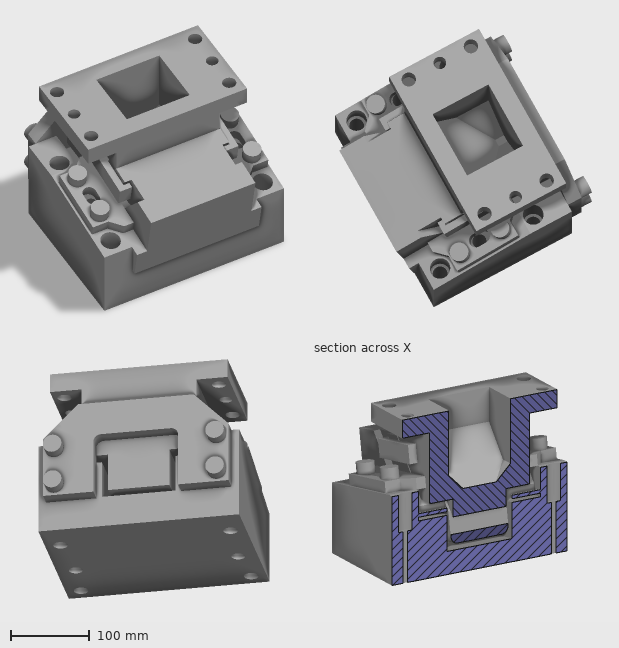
import cadquery as cq
import math


TILT = 10.0
DRIVE_ANGLE = 50.0
SIDES = (-1, 1)

BASE_LENGTH = 200.0
BASE_WIDTH = 260.0
BASE_HEIGHT = 120.0
GUIDE_START_X = 60.0
MOUNT_HOLE_XS = (45.0, 180.0)
MOUNT_HOLE_Y = 110.0
MOUNT_HOLE_RADIUS = 9.4
COUNTERBORE_RADIUS = 13.0
COUNTERBORE_FLOOR = 70.0
DOWEL_RADIUS = 8.8
DRIVER_POCKET_FLOOR = 90.0
KEEL_SLOT_HALF_WIDTH = 47.5
KEEL_SLOT_DEPTH = 88.0

PLATE_THICKNESS = 19.8
PLATE_HALF_WIDTH = 120.0
PLATE_TOP = 165.0
PLATE_TOP_HALF_WIDTH = 75.0
PLATE_BOTTOM = 39.8
WINDOW_HALF_WIDTH = 55.0
WINDOW_CORNER_RADIUS = 10.0
PLATE_BEVEL = (1.5, 2.5)
SCREW_RADIUS = 12.0
PLATE_SCREW_LENGTH = 16.1
PLATE_SCREW_Y = 105.0
PLATE_SCREW_ZS = (55.0, 105.0)

GIB_LENGTH = 120.0
GIB_MIDDLE = 58.5
GIB_THICKNESS = 15.0
GIB_INNER_Y = 76.0
GIB_OUTER_Y = 127.0
GIB_CORNER = 15.0
GIB_CORNER_Y = 89.8
GIB_SCREW_PITCH = 60.0
GIB_SCREW_HEIGHT = 15.0
GIB_SLOT_Y = 105.0
GIB_SLOT_LENGTH = 28.0

DRIVER_TOP = 220.0
DRIVER_LENGTH = 130.0
DRIVER_HALF_WIDTH = 74.5
DRIVER_UNDERSIDE = 100.0
FLANGE_WIDTH = 230.0
FLANGE_THICKNESS = 25.0
FLANGE_HOLES = ((20.0, 9.0), (65.0, 8.0), (110.0, 9.0))
FLANGE_HOLE_Y = 100.0
TONGUE_HALF_WIDTH = 39.5
TONGUE_BOTTOM = 50.0
CAVITY_X = (24.5, 105.4)
CAVITY_HALF_WIDTH = 45.5
CAVITY_WALL_BOTTOM = 173.5
CAVITY_FLOOR = 92.0
CAVITY_FLOOR_HALF_WIDTH = 4.7

HOOK_START = 17.5
HOOK_END = 92.5
HOOK_BOTTOM = 30.0
HOOK_TOP = 55.0
HOOK_INNER_Y = 76.8
HOOK_OUTER_Y = 85.9
HOOK_PAD_END = 43.0
HOOK_TIP_THICKNESS = 7.3
HOOK_TIP_Y = 68.5

SLIDE_HALF_WIDTH = 75.5
SLIDE_TOP = 60.0
SLIDE_END = 156.0
SLIDE_FLANGE_HALF_WIDTH = 90.0
SLIDE_FLANGE_DEPTH = 40.0
SLIDE_FRONT_X = 68.5
SLIDE_EDGE_X = 131.5
KEEL_HALF_WIDTH = 42.7
KEEL_START = 5.5
KEEL_END = 58.8
KEEL_DEPTH = 80.1
KEEL_RADIUS = 10.5
NOTCH_DEPTH = 9.5
NOTCH_RADIUS = 14.8
NOTCH_CENTRE = (146.5, 131.0)
OVERSHOOT = 104.0

tilt_sin = math.sin(math.radians(TILT))
tilt_cos = math.cos(math.radians(TILT))
drive_sin = math.sin(math.radians(DRIVE_ANGLE))
drive_cos = math.cos(math.radians(DRIVE_ANGLE))


def on_guide(along, above):
    """X and Z of a point given along the guide from its crease and at right angles above it."""
    x = GUIDE_START_X + along * tilt_cos + above * tilt_sin
    z = BASE_HEIGHT - along * tilt_sin + above * tilt_cos
    return x, z


def height_at(x, above):
    """Z at a given X on the plane parallel to the guide at a distance above it."""
    return BASE_HEIGHT + (above - (x - GUIDE_START_X) * tilt_sin) / tilt_cos


slide_edge_z = height_at(SLIDE_EDGE_X, SLIDE_TOP)


def drive_z(x):
    return slide_edge_z + (x - SLIDE_EDGE_X) * drive_sin / drive_cos


def drive_x(z):
    return SLIDE_EDGE_X + (z - slide_edge_z) * drive_cos / drive_sin


def side_prism(points, y_start, y_end):
    """An XZ outline extruded from y_start to y_end."""
    outline = cq.Workplane("XZ", origin=(0, y_end, 0)).polyline(points).close()
    return outline.extrude(y_end - y_start)


def centred_prism(points, half_width):
    return side_prism(points, -half_width, half_width)


def guide_block(along, above, y_range):
    """A block lying square to the guide; each argument is a pair of limits."""
    corners = [
        on_guide(along[0], above[0]),
        on_guide(along[1], above[0]),
        on_guide(along[1], above[1]),
        on_guide(along[0], above[1]),
    ]
    return side_prism(corners, min(y_range), max(y_range))


def box(x_range, y_range, z_range):
    size = [high - low for low, high in (x_range, y_range, z_range)]
    return cq.Workplane("XY").box(*size, centered=False).translate((x_range[0], y_range[0], z_range[0]))


def upright_cylinder(x, y, radius, z_start, z_end):
    return cq.Workplane("XY", origin=(x, y, z_start)).circle(radius).extrude(z_end - z_start)


def guide_plane(above):
    """Workplane parallel to the guide with its origin over the crease and X along the guide."""
    x, z = on_guide(0, above)
    return cq.Workplane(cq.Plane((x, 0, z), (tilt_cos, 0, -tilt_sin), (tilt_sin, 0, tilt_cos)))


def base_block():
    outline = [
        (0, 0),
        (BASE_LENGTH, 0),
        (BASE_LENGTH, height_at(BASE_LENGTH, 0)),
        (GUIDE_START_X, BASE_HEIGHT),
        (0, BASE_HEIGHT),
    ]
    block = centred_prism(outline, BASE_WIDTH / 2)

    channel_half = SLIDE_FLANGE_HALF_WIDTH
    block = block.cut(guide_block(
        (0, SLIDE_END + OVERSHOOT), (-SLIDE_FLANGE_DEPTH, OVERSHOOT), (-channel_half, channel_half)))
    block = block.cut(box(
        (0, GUIDE_START_X), (-channel_half, channel_half), (DRIVER_POCKET_FLOOR, BASE_HEIGHT)))

    block = block.cut(guide_block(
        (-OVERSHOOT, KEEL_END), (-KEEL_SLOT_DEPTH, 0), (-KEEL_SLOT_HALF_WIDTH, KEEL_SLOT_HALF_WIDTH)))
    return block


def back_plate():
    outline = [(side * y, z) for side, y, z in (
        (-1, PLATE_HALF_WIDTH, PLATE_BOTTOM),
        (1, PLATE_HALF_WIDTH, PLATE_BOTTOM),
        (1, PLATE_HALF_WIDTH, BASE_HEIGHT),
        (1, PLATE_TOP_HALF_WIDTH, PLATE_TOP),
        (-1, PLATE_TOP_HALF_WIDTH, PLATE_TOP),
        (-1, PLATE_HALF_WIDTH, BASE_HEIGHT),
    )]
    plate = cq.Workplane("YZ").polyline(outline).close().extrude(-PLATE_THICKNESS)
    bevel_x, bevel_z = PLATE_BEVEL
    bevel = [(-bevel_x, PLATE_TOP), (0, PLATE_TOP), (0, PLATE_TOP - bevel_z)]
    plate = plate.cut(centred_prism(bevel, PLATE_HALF_WIDTH))

    window = box(
        (-PLATE_THICKNESS, 0), (-WINDOW_HALF_WIDTH, WINDOW_HALF_WIDTH), (PLATE_BOTTOM, BASE_HEIGHT))
    plate = plate.cut(window.edges("|X and >Z").fillet(WINDOW_CORNER_RADIUS))

    screws = (
        cq.Workplane("YZ", origin=(-PLATE_THICKNESS, 0, 0))
        .pushPoints([(side * PLATE_SCREW_Y, z) for side in SIDES for z in PLATE_SCREW_ZS])
        .circle(SCREW_RADIUS)
        .extrude(-PLATE_SCREW_LENGTH)
    )
    return plate.union(screws)


def gib(side):
    """Clamping plate with two screw heads and an oblong dowel opening."""
    half = GIB_LENGTH / 2
    outer_half = half - GIB_CORNER
    outline = [(GIB_MIDDLE + along, side * y) for along, y in (
        (-half, GIB_INNER_Y),
        (half, GIB_INNER_Y),
        (half, GIB_CORNER_Y),
        (outer_half, GIB_CORNER_Y + GIB_CORNER),
        (outer_half, GIB_OUTER_Y),
        (-outer_half, GIB_OUTER_Y),
        (-outer_half, GIB_CORNER_Y + GIB_CORNER),
        (-half, GIB_CORNER_Y),
    )]
    plate = guide_plane(0).polyline(outline).close().extrude(GIB_THICKNESS)
    slot = (
        guide_plane(0)
        .center(GIB_MIDDLE, side * GIB_SLOT_Y)
        .slot2D(GIB_SLOT_LENGTH, 2 * DOWEL_RADIUS)
        .extrude(GIB_THICKNESS)
    )
    screw_places = [(GIB_MIDDLE + end * GIB_SCREW_PITCH / 2, side * MOUNT_HOLE_Y) for end in SIDES]
    screws = (
        guide_plane(GIB_THICKNESS).pushPoints(screw_places).circle(SCREW_RADIUS).extrude(GIB_SCREW_HEIGHT)
    )
    return plate.cut(slot).union(screws)


def make_base():
    base = base_block().union(back_plate())
    dowel_x, _ = on_guide(GIB_MIDDLE, GIB_THICKNESS)
    for side in SIDES:
        for x in MOUNT_HOLE_XS:
            y = side * MOUNT_HOLE_Y
            base = base.cut(upright_cylinder(x, y, MOUNT_HOLE_RADIUS, 0, BASE_HEIGHT))
            base = base.cut(upright_cylinder(x, y, COUNTERBORE_RADIUS, COUNTERBORE_FLOOR, BASE_HEIGHT))
        base = base.cut(upright_cylinder(dowel_x, side * GIB_SLOT_Y, DOWEL_RADIUS, 0, BASE_HEIGHT))
        base = base.union(gib(side))
    return base


def driver_cavity():
    """Rectangular opening whose lower part is a V trough ended by a slope parallel to the driving face."""
    x_start, x_end = CAVITY_X
    slope_drop = CAVITY_WALL_BOTTOM - CAVITY_FLOOR
    floor_end = x_end - slope_drop * drive_cos / drive_sin
    side_outline = [
        (x_start, CAVITY_FLOOR),
        (floor_end, CAVITY_FLOOR),
        (x_end, CAVITY_WALL_BOTTOM),
        (x_end, DRIVER_TOP),
        (x_start, DRIVER_TOP),
    ]
    trough_top = CAVITY_FLOOR + CAVITY_HALF_WIDTH - CAVITY_FLOOR_HALF_WIDTH
    end_outline = [
        (-CAVITY_FLOOR_HALF_WIDTH, CAVITY_FLOOR),
        (CAVITY_FLOOR_HALF_WIDTH, CAVITY_FLOOR),
        (CAVITY_HALF_WIDTH, trough_top),
        (CAVITY_HALF_WIDTH, DRIVER_TOP),
        (-CAVITY_HALF_WIDTH, DRIVER_TOP),
        (-CAVITY_HALF_WIDTH, trough_top),
    ]
    trough = cq.Workplane("YZ").polyline(end_outline).close().extrude(DRIVER_LENGTH)
    return centred_prism(side_outline, CAVITY_HALF_WIDTH).intersect(trough)


def return_hook(side):
    """Arm fixed to the driver's side whose inward tip pulls the slide back."""
    height = (HOOK_BOTTOM, HOOK_TOP)
    arm = guide_block((HOOK_START, HOOK_END), height, (side * HOOK_INNER_Y, side * HOOK_OUTER_Y))
    pad = guide_block((HOOK_START, HOOK_PAD_END), height, (side * DRIVER_HALF_WIDTH, side * HOOK_INNER_Y))
    tip = guide_block(
        (HOOK_END - HOOK_TIP_THICKNESS, HOOK_END), height, (side * HOOK_TIP_Y, side * HOOK_INNER_Y))
    return arm.union(pad).union(tip)


def make_driver():
    head_outline = [
        (0, DRIVER_UNDERSIDE),
        (drive_x(DRIVER_UNDERSIDE), DRIVER_UNDERSIDE),
        (DRIVER_LENGTH, drive_z(DRIVER_LENGTH)),
        (DRIVER_LENGTH, DRIVER_TOP),
        (0, DRIVER_TOP),
    ]
    tongue_outline = [
        (0, TONGUE_BOTTOM),
        (drive_x(TONGUE_BOTTOM), TONGUE_BOTTOM),
        (drive_x(DRIVER_UNDERSIDE), DRIVER_UNDERSIDE),
        (0, DRIVER_UNDERSIDE),
    ]
    flange_bottom = DRIVER_TOP - FLANGE_THICKNESS
    driver = centred_prism(head_outline, DRIVER_HALF_WIDTH)
    driver = driver.union(centred_prism(tongue_outline, TONGUE_HALF_WIDTH))
    driver = driver.union(
        box((0, DRIVER_LENGTH), (-FLANGE_WIDTH / 2, FLANGE_WIDTH / 2), (flange_bottom, DRIVER_TOP)))
    driver = driver.cut(driver_cavity())
    for side in SIDES:
        for x, radius in FLANGE_HOLES:
            driver = driver.cut(upright_cylinder(x, side * FLANGE_HOLE_Y, radius, flange_bottom, DRIVER_TOP))
        driver = driver.union(return_hook(side))
    return driver


def slide_notch(side):
    """Side notch for a return hook: a round-ended slot along the driving face plus the tip's seat."""
    y_range = sorted((side * (SLIDE_HALF_WIDTH - NOTCH_DEPTH), side * SLIDE_HALF_WIDTH))
    depth = y_range[1] - y_range[0]
    x, z = NOTCH_CENTRE
    across = (NOTCH_RADIUS * drive_sin, -NOTCH_RADIUS * drive_cos)
    run = (OVERSHOOT * drive_cos, OVERSHOOT * drive_sin)
    slot = (
        cq.Workplane("XZ", origin=(0, y_range[1], 0))
        .moveTo(x + across[0], z + across[1])
        .lineTo(x + across[0] + run[0], z + across[1] + run[1])
        .lineTo(x - across[0] + run[0], z - across[1] + run[1])
        .lineTo(x - across[0], z - across[1])
        .threePointArc((x - NOTCH_RADIUS * drive_cos, z - NOTCH_RADIUS * drive_sin),
                       (x + across[0], z + across[1]))
        .close()
        .extrude(depth)
    )
    seat = guide_block((HOOK_END - HOOK_TIP_THICKNESS, HOOK_END), (HOOK_BOTTOM, SLIDE_TOP), y_range)
    return slot.union(seat)


def make_slide():
    bottom_z = height_at(SLIDE_FRONT_X, -SLIDE_FLANGE_DEPTH)
    outline = [
        (SLIDE_FRONT_X, bottom_z),
        on_guide(SLIDE_END, -SLIDE_FLANGE_DEPTH),
        on_guide(SLIDE_END, SLIDE_TOP),
        (SLIDE_EDGE_X, slide_edge_z),
        (SLIDE_FRONT_X, drive_z(SLIDE_FRONT_X)),
    ]
    slide = centred_prism(outline, SLIDE_HALF_WIDTH)
    flange_half = SLIDE_FLANGE_HALF_WIDTH
    below_guide = guide_block((0, SLIDE_END), (-SLIDE_FLANGE_DEPTH, 0), (-flange_half, flange_half))
    slide = slide.union(centred_prism(outline, flange_half).intersect(below_guide))

    keel = guide_block((KEEL_START, KEEL_END), (-KEEL_DEPTH, 0), (-KEEL_HALF_WIDTH, KEEL_HALF_WIDTH))
    keel = keel.faces("<Z").edges("<Y or >Y").fillet(KEEL_RADIUS)
    beyond_drive_face = [
        (drive_x(0), 0),
        (BASE_LENGTH, 0),
        (BASE_LENGTH, BASE_HEIGHT),
        (drive_x(BASE_HEIGHT), BASE_HEIGHT),
    ]
    slide = slide.union(keel.intersect(centred_prism(beyond_drive_face, KEEL_HALF_WIDTH)))
    for side in SIDES:
        slide = slide.cut(slide_notch(side))
    return slide


base = make_base()
driver = make_driver()
slide = make_slide()

result = cq.Compound.makeCompound([base.solids().val(), driver.solids().val(), slide.solids().val()])